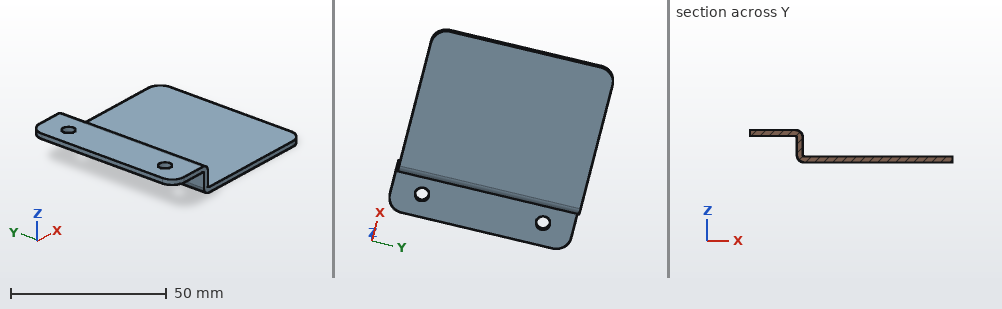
import cadquery as cq

length = 65.0
width = 60.0
height = 10.5
thickness = 2.0

inner_bend_radius = 0.5
outer_bend_radius = inner_bend_radius + thickness

flange_length = 17.0

corner_radius = 5.0
hole_diameter = 4.5
hole_edge_distance = 7.5
hole_spacing = 40.0

left_x = -length / 2
right_x = length / 2
web_right_x = left_x + flange_length
web_left_x = web_right_x - thickness
flange_bottom_z = height - thickness


def make_bent_sheet():
    """Z-shaped profile with sharp bends, extruded across the width, then rounded at the bends."""
    profile = [
        (left_x, height),
        (web_right_x, height),
        (web_right_x, thickness),
        (right_x, thickness),
        (right_x, 0),
        (web_left_x, 0),
        (web_left_x, flange_bottom_z),
        (left_x, flange_bottom_z),
    ]
    sheet = cq.Workplane("XZ").polyline(profile).close().extrude(width / 2, both=True)
    outer_bends = [(web_right_x, height), (web_left_x, 0)]
    inner_bends = [(web_right_x, thickness), (web_left_x, flange_bottom_z)]
    sheet = round_bends(sheet, outer_bends, outer_bend_radius)
    return round_bends(sheet, inner_bends, inner_bend_radius)


def round_bends(sheet, bend_lines, radius):
    """Fillet the edges along Y that pass through the given (x, z) positions."""
    for x, z in bend_lines:
        edge = sheet.edges(cq.selectors.NearestToPointSelector((x, 0, z)))
        sheet = edge.fillet(radius)
    return sheet


def round_corners(sheet):
    """Round the four vertical corners at the free ends of the flange and the plate."""
    sheet = sheet.faces("<X").edges("|Z").fillet(corner_radius)
    return sheet.faces(">X").edges("|Z").fillet(corner_radius)


def cut_mounting_holes(sheet):
    """Drill the pair of holes through the upper flange."""
    hole_x = left_x + hole_edge_distance
    drills = (
        cq.Workplane("XY")
        .pushPoints([(hole_x, -hole_spacing / 2), (hole_x, hole_spacing / 2)])
        .circle(hole_diameter / 2)
        .extrude(height)
    )
    return sheet.cut(drills)


result = cut_mounting_holes(round_corners(make_bent_sheet()))